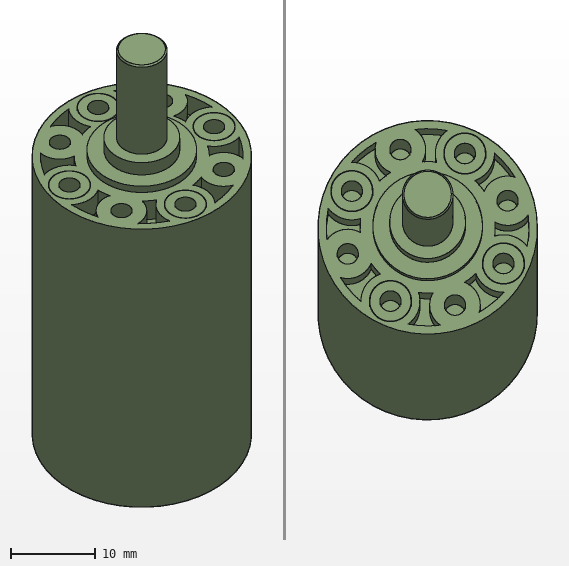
import cadquery as cq


housing_diameter = 26.0
housing_length = 44.3

flange_diameter = 13.0
flange_height = 1.0
collar_diameter = 9.0
collar_height = 1.95

hole_count = 8
hole_circle_radius = 10.0
hole_diameter = 2.5
hole_depth = 5.0

grooved_count = hole_count // 2
plain_count = hole_count - grooved_count
groove_outer_diameter = 5.0
groove_inner_diameter = 4.9
groove_depth = 1.0

pocket_inner_diameter = 16.0
pocket_outer_diameter = 24.0
pocket_depth = 3.0
grooved_pad_diameter = 7.0
plain_pad_diameter = 6.0

shaft_diameter = 6.0
shaft_projection = 14.05
shaft_chamfer = 0.2
socket_depth = 10.0

collar_top = housing_length + flange_height + collar_height
shaft_top = collar_top + shaft_projection
shaft_bottom = collar_top - socket_depth


def cylinder(diameter, bottom, height):
    """Cylinder on the motor axis."""
    return cq.Workplane("XY", origin=(0, 0, bottom)).circle(diameter / 2).extrude(height)


def face_cylinders(diameter, depth, count, start_angle=0):
    """Cylinders on the hole circle that reach from the end face down to the given depth."""
    return (
        cq.Workplane("XY", origin=(0, 0, housing_length))
        .polarArray(hole_circle_radius, start_angle, 360, count)
        .circle(diameter / 2)
        .extrude(-depth)
    )


def make_pockets():
    """Eight pockets left when the pads are taken out of the ring."""
    plain_pad_angle = 360 / hole_count
    pocket_floor = housing_length - pocket_depth
    ring = cylinder(pocket_outer_diameter, pocket_floor, pocket_depth)
    ring = ring.cut(cylinder(pocket_inner_diameter, pocket_floor, pocket_depth))
    ring = ring.cut(face_cylinders(grooved_pad_diameter, pocket_depth, grooved_count))
    return ring.cut(face_cylinders(plain_pad_diameter, pocket_depth, plain_count, plain_pad_angle))


def make_grooves():
    """Ring grooves around the holes on the X and Y axes."""
    cores = face_cylinders(groove_inner_diameter, groove_depth, grooved_count)
    return face_cylinders(groove_outer_diameter, groove_depth, grooved_count).cut(cores)


def make_housing():
    body = cylinder(housing_diameter, 0, housing_length)
    body = body.union(cylinder(flange_diameter, housing_length, flange_height))
    body = body.union(cylinder(collar_diameter, housing_length + flange_height, collar_height))
    body = body.cut(make_pockets())
    body = body.cut(face_cylinders(hole_diameter, hole_depth, hole_count))
    body = body.cut(make_grooves())
    shaft_socket = cylinder(shaft_diameter, shaft_bottom, socket_depth)
    return body.cut(shaft_socket)


def make_shaft():
    shaft = cylinder(shaft_diameter, shaft_bottom, shaft_top - shaft_bottom)
    return shaft.faces(">Z").chamfer(shaft_chamfer)


housing = make_housing()
shaft = make_shaft()

result = cq.Compound.makeCompound([housing.val(), shaft.val()])